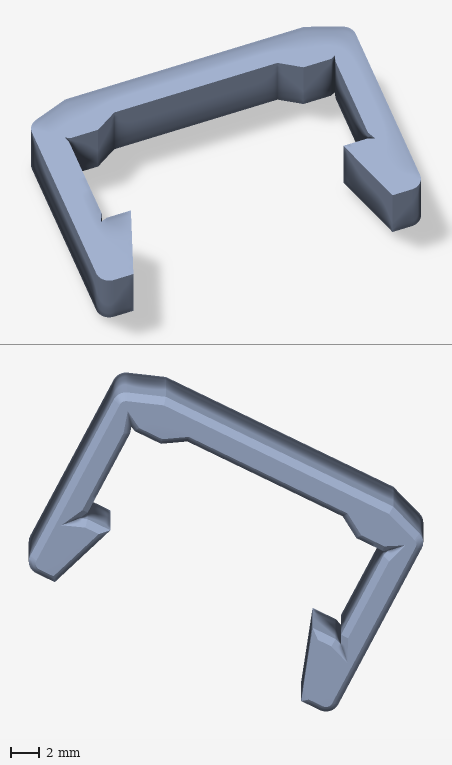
import cadquery as cq

depth = 15.9
width = 24.5
height = 5.0
half_width = width / 2

corner_x = 1.18
corner_y = 3.2
corner_radius = 0.98
bottom_chamfer = 0.5

back_thickness = 2.28
pad_thickness = 3.28
pad_end = 4.48
pad_slope_end = 6.08
arm_thickness = 2.18

hook_x = 10.65
hook_tip = 4.21
hook_end = 2.45

rear_relief_run = 0.3
rear_relief_x = 0.2
rear_relief_y = 0.15
hook_relief_run = 0.47
hook_relief_x = 0.2
hook_relief_y = 0.32
relief_drop = 0.2

mouth_overrun = 0.25


def make_shell():
    """Solid outer block with rounded corners."""
    outline = [
        (0, half_width - corner_y),
        (corner_x, half_width),
        (depth, half_width),
        (depth, -half_width),
        (corner_x, -half_width),
        (0, -half_width + corner_y),
    ]
    block = cq.Workplane("XY").polyline(outline).close().extrude(height)
    side_corners = cq.selectors.BoxSelector(
        (corner_x / 2, -width, -height), (depth * 2, width, height * 2)
    )
    return block.edges("|Z").edges(side_corners).fillet(corner_radius)


def make_cavity():
    """Through opening, symmetric about Y = 0, that leaves the hooked clip."""
    hook_slope = (hook_tip - hook_end) / (depth - hook_x)
    mouth_end = hook_end - hook_slope * mouth_overrun
    inner_edge = [
        (back_thickness, pad_slope_end),
        (pad_thickness, pad_end),
        (pad_thickness, arm_thickness + relief_drop),
        (pad_thickness - rear_relief_x, arm_thickness - rear_relief_y),
        (pad_thickness + rear_relief_run, arm_thickness),
        (hook_x - hook_relief_run, arm_thickness),
        (hook_x + hook_relief_x, arm_thickness - hook_relief_y),
        (hook_x, arm_thickness + relief_drop),
        (hook_x, hook_tip),
        (depth + mouth_overrun, mouth_end),
    ]
    upper = [(x, half_width - inset) for x, inset in inner_edge]
    lower = [(x, -y) for x, y in reversed(upper)]
    return cq.Workplane("XY").polyline(upper + lower).close().extrude(height)


clip = make_shell().cut(make_cavity())
result = clip.faces("<Z").edges().chamfer(bottom_chamfer)